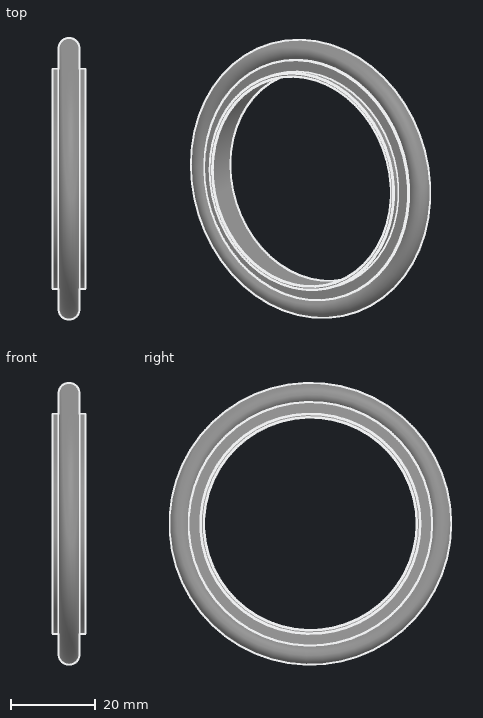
import cadquery as cq

ring_width = 8.0
bore_diameter = 50.0
lip_diameter = 52.0
lip_edge_chamfer = 0.2
flange_diameter = 57.5
flange_width = 3.9
flange_edge_chamfer = 0.1

seal_outer_diameter = 66.5
seal_section_diameter = 5.0
seal_center_radius = (seal_outer_diameter - seal_section_diameter) / 2


def make_seal():
    """Torus with its axis along X."""
    return (
        cq.Workplane("XY")
        .center(0, seal_center_radius)
        .circle(seal_section_diameter / 2)
        .revolve(360, (0, -seal_center_radius), (1, -seal_center_radius))
    )


def make_centering_ring(seal):
    """Sleeve with a central flange whose rim is hollowed to seat the seal."""
    lip_end = ring_width / 2
    flange_side = flange_width / 2
    bore_radius = bore_diameter / 2
    lip_radius = lip_diameter / 2
    flange_radius = flange_diameter / 2
    ring = (
        cq.Workplane("XY")
        .moveTo(-lip_end + lip_edge_chamfer, bore_radius)
        .lineTo(-lip_end, bore_radius + lip_edge_chamfer)
        .lineTo(-lip_end, lip_radius - lip_edge_chamfer)
        .lineTo(-lip_end + lip_edge_chamfer, lip_radius)
        .lineTo(-flange_side, lip_radius)
        .lineTo(-flange_side, flange_radius - flange_edge_chamfer)
        .lineTo(-flange_side + flange_edge_chamfer, flange_radius)
        .lineTo(flange_side - flange_edge_chamfer, flange_radius)
        .lineTo(flange_side, flange_radius - flange_edge_chamfer)
        .lineTo(flange_side, lip_radius)
        .lineTo(lip_end - lip_edge_chamfer, lip_radius)
        .lineTo(lip_end, lip_radius - lip_edge_chamfer)
        .lineTo(lip_end, bore_radius + lip_edge_chamfer)
        .lineTo(lip_end - lip_edge_chamfer, bore_radius)
        .close()
        .revolve(360, (0, 0), (1, 0))
    )
    return ring.cut(seal)


seal = make_seal()
centering_ring = make_centering_ring(seal)

result = cq.Compound.makeCompound([centering_ring.val(), seal.val()])